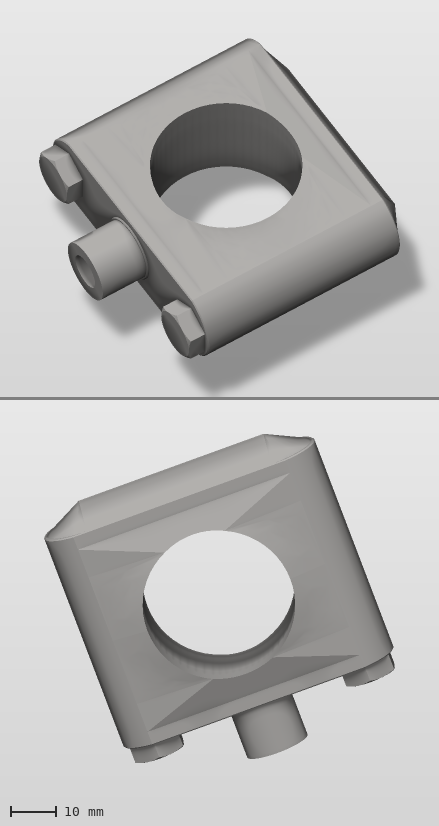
import cadquery as cq
import math

body_width = 63.2
body_length = 50.1
body_half_height = 9.5
end_radius = 10.0
edge_chamfer = 0.3
bore_radius = 16.7

overall_height = 24.1
rim_flat_half_length = 15.15
rim_base_half_length = 21.85

ridge_y = 30.05
ridge_base_radius = 9.2

stem_radius = 7.1
stem_end_y = -36.75
collar_radius = 7.6
collar_height = 0.4
hole_radius = 4.0
hole_depth = 13.35
drill_angle = 118.0

bolt_spacing = 49.3
bolt_flats = 11.15
bolt_height = 4.2
bolt_chamfer_angle = 30.0
bolt_turn = 30.0

half_width = body_width / 2
half_length = body_length / 2
end_center_x = half_width - end_radius
flat_half_width = end_center_x + math.sqrt(end_radius**2 - body_half_height**2)


def make_body():
    body = (
        cq.Workplane("XZ", origin=(0, half_length, 0))
        .moveTo(-flat_half_width, body_half_height)
        .lineTo(flat_half_width, body_half_height)
        .threePointArc((half_width, 0), (flat_half_width, -body_half_height))
        .lineTo(-flat_half_width, -body_half_height)
        .threePointArc((-half_width, 0), (-flat_half_width, body_half_height))
        .close()
        .extrude(body_length)
    )
    return body.faces("<Y or >Y").chamfer(edge_chamfer)


def polygon_face(points):
    return cq.Face.makeFromWires(cq.Wire.makePolygon(points, close=True))


def make_rim():
    """Raised rim on the top face: ruled flanks beside the bore, flat slopes at both ends."""
    base_z = body_half_height
    top_z = overall_height / 2
    corner_x = math.sqrt(bore_radius**2 - rim_flat_half_length**2)
    mid_angle = math.atan2(rim_flat_half_length, corner_x) / 2
    mid_x = bore_radius * math.cos(mid_angle)
    mid_y = bore_radius * math.sin(mid_angle)

    def base(x_sign, y):
        return cq.Vector(x_sign * flat_half_width, y, base_z)

    def top(x, y):
        return cq.Vector(x, y, top_z)

    faces = []
    top_edges = []
    for side in (-1, 1):
        for end in (-1, 1):
            flat_y = end * rim_flat_half_length
            corner = top(side * corner_x, flat_y)
            arc = cq.Edge.makeThreePointArc(
                top(side * bore_radius, 0), top(side * mid_x, end * mid_y), corner
            )
            foot = cq.Edge.makeLine(base(side, 0), base(side, flat_y))
            faces.append(cq.Face.makeRuledSurface(arc, foot))
            base_corner = base(side, end * rim_base_half_length)
            faces.append(polygon_face([base(side, flat_y), base_corner, corner]))
            top_edges.append(arc)

    for end in (-1, 1):
        flat_y = end * rim_flat_half_length
        base_y = end * rim_base_half_length
        left = top(-corner_x, flat_y)
        right = top(corner_x, flat_y)
        faces.append(polygon_face([base(-1, base_y), base(1, base_y), right, left]))
        top_edges.append(cq.Edge.makeLine(left, right))

    faces.append(cq.Face.makeFromWires(cq.Wire.combine(top_edges)[0]))
    foot_stations = (
        -rim_base_half_length, -rim_flat_half_length, 0, rim_flat_half_length, rim_base_half_length
    )
    outline = [base(1, y) for y in foot_stations]
    outline += [base(-1, y) for y in reversed(foot_stations)]
    faces.append(polygon_face(outline))

    solid = cq.Solid.makeSolid(cq.Shell.makeShell(faces))
    return cq.Workplane(solid.fix())


def make_ridge():
    """Wedge along the back with a half cone at each end."""
    height = ridge_y - half_length
    wedge = (
        cq.Workplane("YZ", origin=(-end_center_x, 0, 0))
        .polyline([(half_length, -ridge_base_radius), (ridge_y, 0), (half_length, ridge_base_radius)])
        .close()
        .extrude(2 * end_center_x)
    )
    for x in (-end_center_x, end_center_x):
        base_center = cq.Vector(x, half_length, 0)
        cone = cq.Solid.makeCone(ridge_base_radius, 0, height, base_center, cq.Vector(0, 1, 0))
        wedge = wedge.union(cq.Workplane(cone))
    return wedge


def make_stem():
    front = cq.Workplane("XZ", origin=(0, -half_length, 0))
    stem = front.circle(stem_radius).extrude(-stem_end_y - half_length)
    collar = front.circle(collar_radius).extrude(collar_height)
    return stem.union(collar.faces("<Y").chamfer(collar_height / 2))


def make_stem_hole():
    """Blind hole with a conical drill point."""
    bottom_y = stem_end_y + hole_depth
    tip_y = bottom_y + hole_radius / math.tan(math.radians(drill_angle / 2))
    return (
        cq.Workplane("XY")
        .polyline([(0, stem_end_y), (hole_radius, stem_end_y), (hole_radius, bottom_y), (0, tip_y)])
        .close()
        .revolve(360, (0, 0), (0, 1))
    )


def make_bolt_head(x):
    """Hexagonal head with its outer corners cut by a cone."""
    across_corners = bolt_flats / math.cos(math.pi / 6)
    flat_radius = bolt_flats / 2
    corner_radius = across_corners / 2
    drop = (corner_radius - flat_radius) * math.tan(math.radians(bolt_chamfer_angle))
    front = cq.Workplane("XZ", origin=(x, -half_length, 0))
    head = front.transformed(rotate=(0, 0, bolt_turn)).polygon(6, across_corners).extrude(bolt_height)
    envelope = (
        cq.Workplane("XY", origin=(x, -half_length, 0))
        .polyline([
            (0, 0),
            (corner_radius, 0),
            (corner_radius, drop - bolt_height),
            (flat_radius, -bolt_height),
            (0, -bolt_height),
        ])
        .close()
        .revolve(360, (0, 0), (0, 1))
    )
    return head.intersect(envelope)


rim = make_rim()
result = make_body().union(rim).union(rim.mirror("XY")).union(make_ridge()).union(make_stem())
for bolt_x in (-bolt_spacing / 2, bolt_spacing / 2):
    result = result.union(make_bolt_head(bolt_x))

bore = cq.Workplane("XY", origin=(0, 0, -overall_height / 2)).circle(bore_radius).extrude(overall_height)
result = result.cut(bore).cut(make_stem_hole())